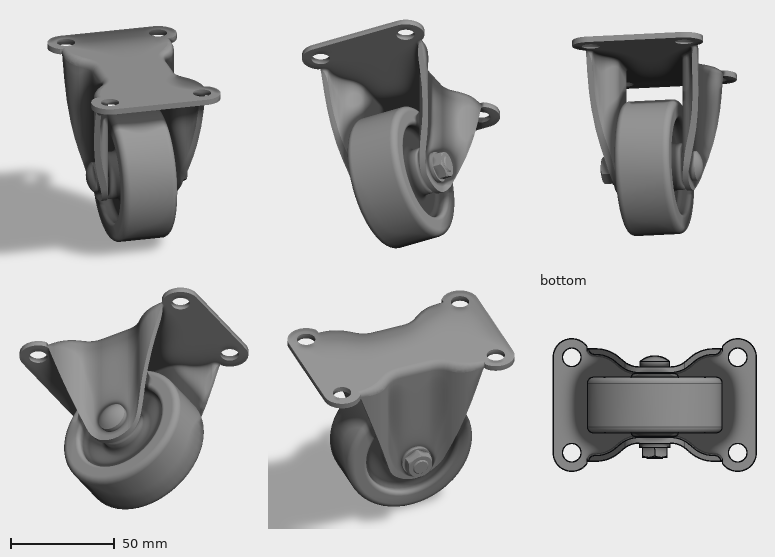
import cadquery as cq
import math


sheet = 2.7
hole_pitch_x = 80.0
hole_pitch_y = 46.0
hole_diameter = 8.8
corner_radius = 9.0
waist_half_length = 32.5

leg_end_y = 27.1
leg_middle_y = 18.4
flat_half_length = 7.7
swing_angle = math.radians(41)
inward_radius = 11.1
outward_radius = 17.4
leg_end_x = 31.85
leg_side_slope = 0.333
leg_tip_radius = 15.0
leg_bottom_z = -66.2

bend_middle_radius = 3.6
bend_shoulder_radius = 2.7
bend_end_radius = 2.2
bend_inner_radius = bend_middle_radius - sheet

axle_z = -54.6
wheel_diameter = 65.0
wheel_radius = wheel_diameter / 2
tread_half_width = 13.4
tread_round = 2.9
recess_mouth_radius = 24.9
recess_round = 2.0
recess_depth = 6.0
hub_radius = 11.4
hub_round = 2.0
hub_base_round = 2.5
hub_half_width = 15.2
boss_radius = 8.9

shank_radius = 4.0
shank_end_y = 25.9
shank_chamfer = 0.6
head_radius = 7.2
head_rim_height = 2.5
head_dome_height = 2.7
washer_radius = 7.4
washer_thickness = 2.0
nut_across_flats = 12.0
nut_height = 4.8
nut_chamfer = 0.7

leg_inner_y = leg_middle_y - sheet
plate_length = hole_pitch_x + 2 * corner_radius
plate_width = hole_pitch_y + 2 * corner_radius
waist_length = 2 * waist_half_length


def leg_curve(inset):
    """Points along the +X half of a leg's plan curve, moved in by `inset`.

    Flat end, middle and end of the inward arc, then start, middle and end of the outward arc.
    """
    near_x = flat_half_length
    near_y = leg_middle_y + inward_radius
    near_radius = inward_radius + inset
    sin_sum = (inward_radius + outward_radius) * math.sin(swing_angle)
    rise_left = leg_end_y - leg_middle_y - (inward_radius + outward_radius) * (1 - math.cos(swing_angle))
    straight_run = rise_left / math.tan(swing_angle)
    far_x = flat_half_length + sin_sum + straight_run
    far_y = leg_end_y - outward_radius
    far_radius = outward_radius - inset

    def near(angle):
        return (near_x + near_radius * math.sin(angle), near_y - near_radius * math.cos(angle))

    def far(angle):
        return (far_x - far_radius * math.sin(angle), far_y + far_radius * math.cos(angle))

    half = swing_angle / 2
    return near(0), near(half), near(swing_angle), far(swing_angle), far(half), far(0)


def leg_plan(inset, top_z):
    """Open plan sketch from the centre of the plate along a leg's curve to the end of its swing."""
    flat_end, near_mid, near_end, far_start, far_mid, far_end = leg_curve(inset)
    return (
        cq.Workplane("XY", origin=(0, 0, top_z))
        .lineTo(0, flat_end[1])
        .lineTo(*flat_end)
        .threePointArc(near_mid, near_end)
        .lineTo(*far_start)
        .threePointArc(far_mid, far_end)
    )


def bend_edges(quarter):
    """Top edges of a quarter prism that follow the leg, from the centre outwards."""
    margin = 0.1
    least_y = leg_inner_y - margin
    most_x = waist_half_length - margin
    edges = quarter.faces(">Z").edges().vals()
    edges = [edge for edge in edges if edge.Center().y > least_y and edge.Center().x < most_x]
    return sorted(edges, key=lambda edge: edge.Center().x)


def waist_quarter():
    """Quarter of the block out to the outer leg face, with a bend of changing radius on its top edge."""
    quarter = leg_plan(0, 0).lineTo(waist_half_length, leg_end_y).lineTo(waist_half_length, 0).close()
    quarter = quarter.extrude(leg_bottom_z)
    edges = bend_edges(quarter)
    end_radii = [bend_middle_radius] * 3 + [bend_shoulder_radius, bend_end_radius]
    bend = cq.occ_impl.shapes.BRepFilletAPI_MakeFillet(quarter.val().wrapped)
    bend.Add(edges[0].wrapped)
    positions = range(1, bend.NbEdges(1) + 1)
    start_radius = bend_middle_radius
    for edge, end_radius in zip(edges, end_radii):
        position = next(i for i in positions if bend.Edge(1, i).IsSame(edge.wrapped))
        bend.SetRadius(start_radius, end_radius, 1, position)
        start_radius = end_radius
    return cq.Workplane(cq.Shape.cast(bend.Shape()))


def cavity_quarter():
    """Quarter of the space between the legs; it wraps round the rounded inner end of each leg."""
    inner_end_y = leg_end_y - sheet
    round_x = leg_end_x - sheet
    outside = 2.0
    quarter = (
        leg_plan(sheet, -sheet)
        .lineTo(round_x, inner_end_y)
        .radiusArc((leg_end_x, leg_end_y), -sheet)
        .lineTo(leg_end_x, leg_end_y + outside)
        .lineTo(waist_half_length + outside, leg_end_y + outside)
        .lineTo(waist_half_length + outside, 0)
        .close()
        .extrude(leg_bottom_z + sheet)
    )
    return quarter.newObject(bend_edges(quarter)).fillet(bend_inner_radius)


def four_way(quarter):
    """Whole block from its quarter, mirrored in X and then in Y."""
    half = quarter.union(quarter.mirror("YZ"))
    return half.union(half.mirror("XZ"))


def leg_side_outline():
    """Front outline of the plate waist and the tapered legs below it, as a block along Y."""
    taper = math.atan(leg_side_slope)
    tip_centre_z = leg_bottom_z + leg_tip_radius
    tip_x = leg_tip_radius * math.cos(taper)
    tip_z = tip_centre_z - leg_tip_radius * math.sin(taper)
    shoulder_z = -sheet - bend_inner_radius
    shoulder_x = tip_x + (shoulder_z - tip_z) * leg_side_slope
    return (
        cq.Workplane("XZ")
        .moveTo(-waist_half_length, 0)
        .lineTo(-waist_half_length, -sheet)
        .lineTo(-shoulder_x, shoulder_z)
        .lineTo(-tip_x, tip_z)
        .threePointArc((0, leg_bottom_z), (tip_x, tip_z))
        .lineTo(shoulder_x, shoulder_z)
        .lineTo(waist_half_length, -sheet)
        .lineTo(waist_half_length, 0)
        .close()
        .extrude(leg_end_y, both=True)
    )


def plate_ends():
    """The two plate ends with their round lobes, beyond the waist."""
    ends = cq.Workplane("XY").box(plate_length, hole_pitch_y, sheet, centered=(True, True, False))
    lobes = cq.Workplane("XY").rect(hole_pitch_x, hole_pitch_y, forConstruction=True).vertices()
    ends = ends.union(lobes.circle(corner_radius).extrude(sheet))
    waist_gap = cq.Workplane("XY").box(waist_length, plate_width, sheet, centered=(True, True, False))
    ends = ends.cut(waist_gap)
    return ends.translate((0, 0, -sheet))


def make_bracket():
    """Pressed plate with its two legs, the mounting holes and the axle hole."""
    waist = four_way(waist_quarter()).intersect(leg_side_outline()).cut(four_way(cavity_quarter()))
    bracket = waist.union(plate_ends())
    holes = (
        cq.Workplane("XY").rect(hole_pitch_x, hole_pitch_y, forConstruction=True).vertices()
        .circle(hole_diameter / 2).extrude(-sheet)
    )
    axle_hole = cq.Workplane("XZ", origin=(0, 0, axle_z)).circle(shank_radius).extrude(leg_end_y, both=True)
    return bracket.cut(holes).cut(axle_hole)


def spin_about_axle(profile):
    """Full turn of a profile about the Y axis."""
    return profile.revolve(360, (0, 0, 0), (0, 1, 0))


def make_wheel():
    """Rounded tread with a recess and a hub on both sides; the hub bosses touch the legs."""
    recess_floor_y = tread_half_width - recess_depth
    wall_radius = recess_mouth_radius - recess_round
    blank = (
        cq.Workplane("XZ")
        .circle(wheel_radius)
        .circle(shank_radius)
        .extrude(leg_inner_y, both=True)
    )
    side_profile = (
        cq.Workplane("XY")
        .moveTo(boss_radius, leg_inner_y)
        .lineTo(boss_radius, hub_half_width)
        .lineTo(hub_radius - hub_round, hub_half_width)
        .radiusArc((hub_radius, hub_half_width - hub_round), hub_round)
        .lineTo(hub_radius, recess_floor_y + hub_base_round)
        .radiusArc((hub_radius + hub_base_round, recess_floor_y), -hub_base_round)
        .lineTo(wall_radius - recess_round, recess_floor_y)
        .radiusArc((wall_radius, recess_floor_y + recess_round), -recess_round)
        .lineTo(wall_radius, tread_half_width - recess_round)
        .radiusArc((recess_mouth_radius, tread_half_width), recess_round)
        .lineTo(wheel_radius - tread_round, tread_half_width)
        .radiusArc((wheel_radius, tread_half_width - tread_round), tread_round)
        .lineTo(wheel_radius, leg_inner_y)
        .close()
    )
    side = spin_about_axle(side_profile)
    return blank.cut(side).cut(side.mirror("XZ")).translate((0, 0, axle_z))


def make_axle():
    """Domed bolt through both legs, with the washer and chamfered nut at its +Y end."""
    head_base_y = -leg_middle_y
    rim_y = head_base_y - head_rim_height
    dome_radius = (head_radius**2 + head_dome_height**2) / (2 * head_dome_height)
    washer_y = leg_middle_y + washer_thickness
    bolt_profile = (
        cq.Workplane("XY")
        .moveTo(0, shank_end_y)
        .lineTo(shank_radius - shank_chamfer, shank_end_y)
        .lineTo(shank_radius, shank_end_y - shank_chamfer)
        .lineTo(shank_radius, washer_y)
        .lineTo(washer_radius, washer_y)
        .lineTo(washer_radius, leg_middle_y)
        .lineTo(shank_radius, leg_middle_y)
        .lineTo(shank_radius, head_base_y)
        .lineTo(head_radius, head_base_y)
        .lineTo(head_radius, rim_y)
        .radiusArc((0, rim_y - head_dome_height), dome_radius)
        .close()
    )
    corner_diameter = nut_across_flats / math.cos(math.pi / 6)
    nut_base = cq.Workplane("XZ", origin=(0, washer_y, 0))
    nut = nut_base.transformed(rotate=(0, 0, 30)).polygon(6, corner_diameter).extrude(-nut_height)
    nut_envelope = nut_base.circle(corner_diameter / 2).extrude(-nut_height)
    nut_envelope = nut_envelope.faces(">Y").chamfer(nut_chamfer, (corner_diameter - nut_across_flats) / 2)
    return spin_about_axle(bolt_profile).union(nut.intersect(nut_envelope)).translate((0, 0, axle_z))


bracket = make_bracket()
wheel = make_wheel()
axle = make_axle()
result = cq.Compound.makeCompound([bracket.val(), wheel.val(), axle.val()])